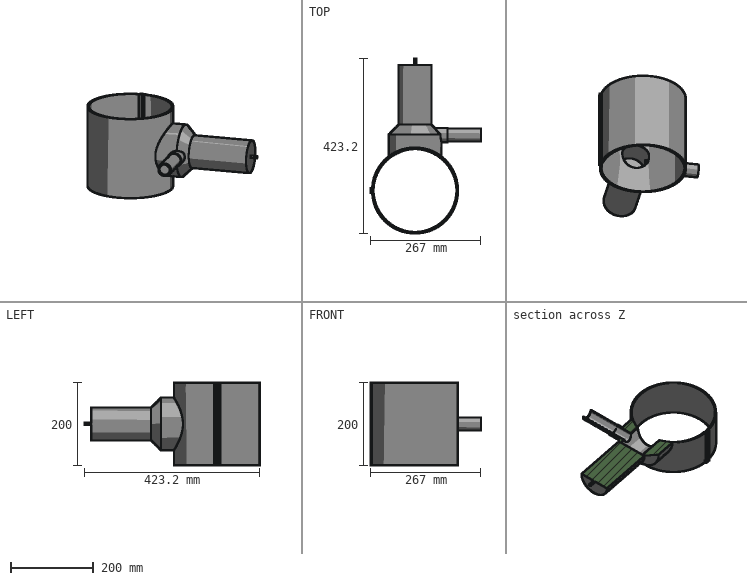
import cadquery as cq

ring_inner_radius = 100.0
ring_outer_radius = 104.0
ring_height = 200.0

split_upper_y = 1.8
split_lower_y = -1.3
tongue_root_y = 5.0
tongue_tip_y = -7.5
rebate_end_y = -9.0
tongue_inner_radius = 100.8
tongue_outer_radius = 101.8
rebate_radius = 102.2

lip_tip_x = -107.4
lip_root_x = -103.0
lip_tip_width = 4.6
lip_neck_width = 2.5

saddle_radius = 64.0
saddle_end_y = 135.0
housing_radius = 40.0
housing_start_y = 159.0
housing_end_y = 303.5
spindle_radius = 3.0
spindle_end_y = 319.16

outlet_y = 134.0
outlet_radius = 16.0
outlet_end_x = 159.59
collar_radius = 17.5
collar_end_x = 78.5

branch_bore_radius = 33.0
branch_bore_end_y = housing_start_y
outlet_bore_radius = 13.0


def ring_disc(radius):
    """Solid disc of the ring height, centred on the origin."""
    return cq.Workplane("XY").circle(radius).extrude(ring_height / 2, both=True)


def tube_sector(inner_radius, outer_radius, low_y, high_y):
    """Piece of a tube wall on the -X side, between two Y positions."""
    slab = (
        cq.Workplane("XY")
        .box(2 * ring_outer_radius, high_y - low_y, ring_height)
        .translate((-ring_outer_radius, (low_y + high_y) / 2, 0))
    )
    return ring_disc(outer_radius).cut(ring_disc(inner_radius)).intersect(slab)


def lip(split_y, direction):
    """Hooked lip beside the split; direction is the Y sign pointing away from it."""
    tip_y = split_y + direction * lip_tip_width
    neck_y = split_y + direction * lip_neck_width
    neck_x = -ring_outer_radius
    outline = [
        (lip_root_x, split_y),
        (lip_tip_x, split_y),
        (lip_tip_x, tip_y),
        (neck_x, neck_y),
        (lip_root_x, neck_y),
    ]
    return cq.Workplane("XY").polyline(outline).close().extrude(ring_height / 2, both=True)


def branch():
    """Saddle, cone, spindle housing and spindle turned around the Y axis."""
    outline = [
        (0, 0),
        (saddle_radius, 0),
        (saddle_radius, saddle_end_y),
        (housing_radius, housing_start_y),
        (housing_radius, housing_end_y),
        (spindle_radius, housing_end_y),
        (spindle_radius, spindle_end_y),
        (0, spindle_end_y),
    ]
    return cq.Workplane("XY").polyline(outline).close().revolve(360, (0, 0, 0), (0, 1, 0))


def outlet_cylinder(radius, end_x):
    """Cylinder along +X from the branch axis."""
    return cq.Workplane("YZ").center(outlet_y, 0).circle(radius).extrude(end_x)


def split_ring(body):
    """Open the ring at the split, cut the rebate, then add the tongue and lips."""
    body = body.cut(tube_sector(rebate_radius, ring_outer_radius, split_lower_y, split_upper_y))
    body = body.cut(tube_sector(ring_inner_radius, rebate_radius, rebate_end_y, split_upper_y))
    body = body.cut(tube_sector(ring_inner_radius, tongue_inner_radius, split_upper_y, tongue_root_y))
    body = body.union(tube_sector(tongue_inner_radius, tongue_outer_radius, tongue_tip_y, tongue_root_y))
    body = body.union(lip(split_upper_y, 1))
    return body.union(lip(split_lower_y, -1))


body = ring_disc(ring_outer_radius).union(branch())
body = body.union(outlet_cylinder(collar_radius, collar_end_x))
body = body.union(outlet_cylinder(outlet_radius, outlet_end_x))

branch_bore = cq.Workplane("XZ").circle(branch_bore_radius).extrude(-branch_bore_end_y)
body = body.cut(ring_disc(ring_inner_radius)).cut(branch_bore)
body = body.cut(outlet_cylinder(outlet_bore_radius, outlet_end_x))

result = split_ring(body)